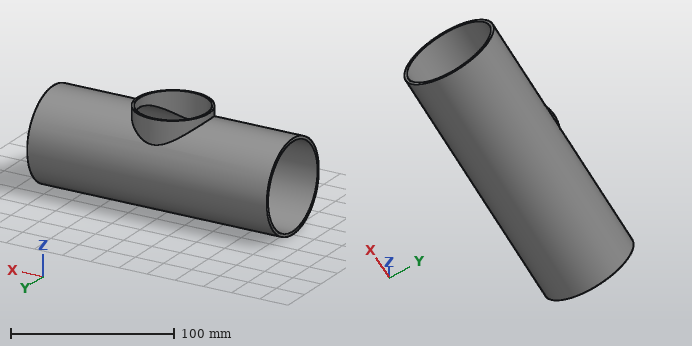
import cadquery as cq

pipe_length = 170.0
pipe_outer_diameter = 63.5
pipe_inner_diameter = 59.5

branch_outer_diameter = 50.8
branch_inner_diameter = 47.8
overall_height = 67.8
branch_top = overall_height - pipe_outer_diameter / 2


def pipe_cylinder(diameter):
    """Full-length cylinder on the pipe axis."""
    return cq.Workplane("YZ").circle(diameter / 2).extrude(pipe_length / 2, both=True)


def branch_cylinder(diameter):
    """Cylinder from the pipe axis up to the branch rim."""
    return cq.Workplane("XY").circle(diameter / 2).extrude(branch_top)


outer_body = pipe_cylinder(pipe_outer_diameter).union(branch_cylinder(branch_outer_diameter))

result = (
    outer_body
    .cut(pipe_cylinder(pipe_inner_diameter))
    .cut(branch_cylinder(branch_inner_diameter))
)